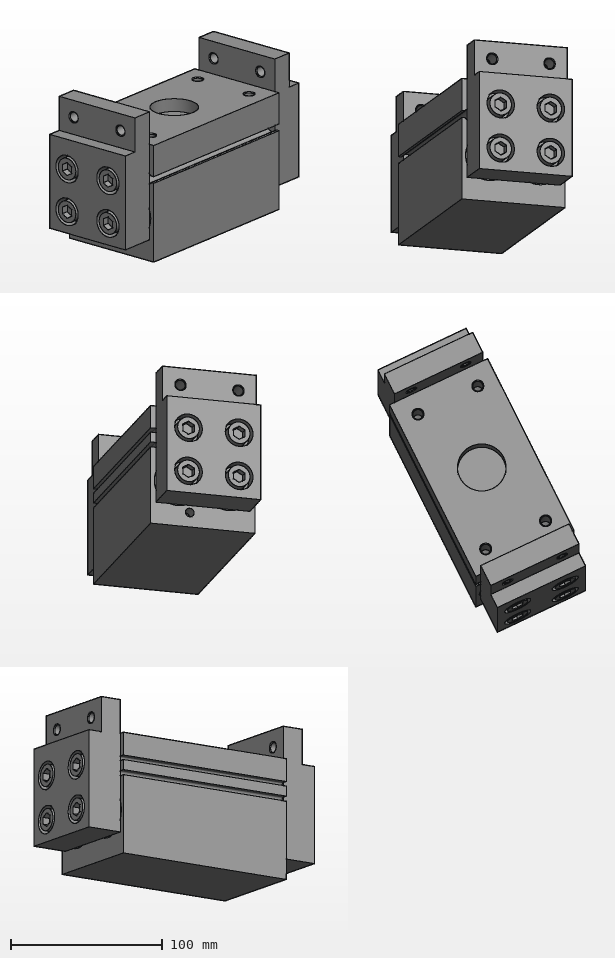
import cadquery as cq
import math

total_length = 180.0
jaw_thickness = 25.0
housing_width = 72.0
housing_length = total_length - 2 * jaw_thickness
housing_height = 82.0
housing_end = housing_length / 2

jaw_width = 64.8
jaw_bottom = 15.0
jaw_shoulder = 81.0
jaw_top = 105.0
tongue_thickness = 15.1
finger_hole_spacing = 40.0
finger_hole_height = 93.0

screw_spacing_x = 35.0
screw_spacing_z = 30.0
lower_screw_height = 30.0
counterbore_diameter = 19.0
counterbore_depth = 10.0
head_diameter = 15.0
socket_flats = 8.0
socket_depth = 5.0

rod_diameter = 32.0
rod_length = 25.0

tap_diameter = 6.7
tap_mouth_diameter = 8.0
drill_tip_angle = 118.0
top_hole_spacing_x = 44.0
top_hole_spacing_y = 102.0
top_hole_depth = 15.0

pocket_diameter = 32.0
pocket_depth = 9.0
port_diameter = 6.0
port_depth = 10.0
port_x = -9.0
port_z = 10.0
upper_groove_width = 3.0
upper_groove_height = 65.0
lower_groove_width = 3.5
lower_groove_height = 54.9
groove_depth = 5.0
sensor_slot_height = 57.8
sensor_slot_mouth = 4.7
sensor_slot_diameter = 8.6
sensor_slot_lip = 2.3


def cylinder_y(diameter, x, z, y_start, y_end):
    """Cylinder along Y between two Y positions."""
    return (
        cq.Workplane("XZ", origin=(x, y_start, z))
        .circle(diameter / 2)
        .extrude(y_start - y_end)
    )


def screw_positions():
    """X and Z of the four screws of a jaw."""
    return [
        (side * screw_spacing_x / 2, lower_screw_height + row * screw_spacing_z)
        for side in (-1, 1)
        for row in (0, 1)
    ]


def rod_positions():
    """X and Z of the two guide rods of a jaw."""
    return [(side * screw_spacing_x / 2, lower_screw_height) for side in (-1, 1)]


def finger_hole(x):
    """Through hole in the jaw tongue, chamfered at both faces."""
    inner = -housing_end
    outer = inner - tongue_thickness
    radius = tap_diameter / 2
    mouth = tap_mouth_diameter / 2
    chamfer = mouth - radius
    profile = [
        (0, outer),
        (mouth, outer),
        (radius, outer + chamfer),
        (radius, inner - chamfer),
        (mouth, inner),
        (0, inner),
    ]
    return (
        cq.Workplane("XY")
        .polyline(profile)
        .close()
        .revolve(360, (0, 0, 0), (0, 1, 0))
        .translate((x, 0, finger_hole_height))
    )


def screw_recess(x, z):
    """Ring-shaped counterbore around a screw head, with the hexagon socket in the head."""
    outer = -total_length / 2
    ring = cylinder_y(counterbore_diameter, x, z, outer, outer + counterbore_depth)
    head = cylinder_y(head_diameter, x, z, outer, outer + counterbore_depth)
    socket_corners = socket_flats / math.cos(math.radians(30))
    socket = (
        cq.Workplane("XZ", origin=(x, outer, z))
        .transformed(rotate=(0, 0, 90))
        .polygon(6, socket_corners)
        .extrude(-socket_depth)
    )
    return ring.cut(head).union(socket)


def make_jaw():
    """Jaw at the -Y end: stepped block with its screw heads and guide rods."""
    inner = -housing_end
    outer = -total_length / 2
    tongue_face = inner - tongue_thickness
    jaw = (
        cq.Workplane("YZ", origin=(-jaw_width / 2, 0, 0))
        .moveTo(inner, jaw_bottom)
        .lineTo(inner, jaw_top)
        .lineTo(tongue_face, jaw_top)
        .lineTo(tongue_face, jaw_shoulder)
        .lineTo(outer, jaw_shoulder)
        .lineTo(outer, jaw_bottom)
        .close()
        .extrude(jaw_width)
    )
    for side in (-1, 1):
        jaw = jaw.cut(finger_hole(side * finger_hole_spacing / 2))
    for x, z in screw_positions():
        jaw = jaw.cut(screw_recess(x, z))
    for x, z in rod_positions():
        jaw = jaw.union(cylinder_y(rod_diameter, x, z, inner, inner + rod_length))
    return jaw


def top_hole(x, y):
    """Blind tapped hole in the housing top, with a chamfered mouth and a drill tip."""
    radius = tap_diameter / 2
    mouth = tap_mouth_diameter / 2
    tip_height = radius / math.tan(math.radians(drill_tip_angle / 2))
    profile = [
        (0, 0),
        (mouth, 0),
        (radius, radius - mouth),
        (radius, -top_hole_depth),
        (0, -top_hole_depth - tip_height),
    ]
    return (
        cq.Workplane("XZ")
        .polyline(profile)
        .close()
        .revolve(360, (0, 0, 0), (0, 1, 0))
        .translate((x, y, housing_height))
    )


def round_groove(width, z):
    """Round-bottomed groove along the -X side."""
    side = -housing_width / 2
    radius = width / 2
    bottom = side + groove_depth
    return (
        cq.Workplane("XZ", origin=(0, -housing_end, z))
        .moveTo(side, radius)
        .lineTo(bottom - radius, radius)
        .threePointArc((bottom, 0), (bottom - radius, -radius))
        .lineTo(side, -radius)
        .close()
        .extrude(-housing_length)
    )


def sensor_slot():
    """Slot along the +X side: a narrow mouth that opens into a round channel."""
    side = housing_width / 2
    radius = sensor_slot_diameter / 2
    half_mouth = sensor_slot_mouth / 2
    center_x = side - sensor_slot_lip - math.sqrt(radius**2 - half_mouth**2)
    channel = cylinder_y(sensor_slot_diameter, center_x, sensor_slot_height, -housing_end, housing_end)
    mouth = cq.Workplane("XY").box(side - center_x, housing_length, sensor_slot_mouth)
    return channel.union(mouth.translate(((side + center_x) / 2, 0, sensor_slot_height)))


def make_housing():
    """Block with grooved sides, a top pocket, tapped holes and bores for the guide rods."""
    housing = cq.Workplane("XY").box(
        housing_width, housing_length, housing_height, centered=(True, True, False)
    )
    housing = housing.cut(round_groove(upper_groove_width, upper_groove_height))
    housing = housing.cut(round_groove(lower_groove_width, lower_groove_height))
    housing = housing.cut(sensor_slot())
    pocket = cq.Workplane("XY", origin=(0, 0, housing_height)).circle(pocket_diameter / 2)
    housing = housing.cut(pocket.extrude(-pocket_depth))
    for side_x in (-1, 1):
        for side_y in (-1, 1):
            hole = top_hole(side_x * top_hole_spacing_x / 2, side_y * top_hole_spacing_y / 2)
            housing = housing.cut(hole)
    housing = housing.cut(
        cylinder_y(port_diameter, port_x, port_z, -housing_end, -housing_end + port_depth)
    )
    for end in (-1, 1):
        face = end * housing_end
        for x, z in rod_positions():
            housing = housing.cut(cylinder_y(rod_diameter, x, z, face, face - end * rod_length))
    return housing


housing = make_housing()
front_jaw = make_jaw()
jaws = [front_jaw, front_jaw.mirror("XZ")]

result = cq.Compound.makeCompound([housing.val(), *[jaw.val() for jaw in jaws]])